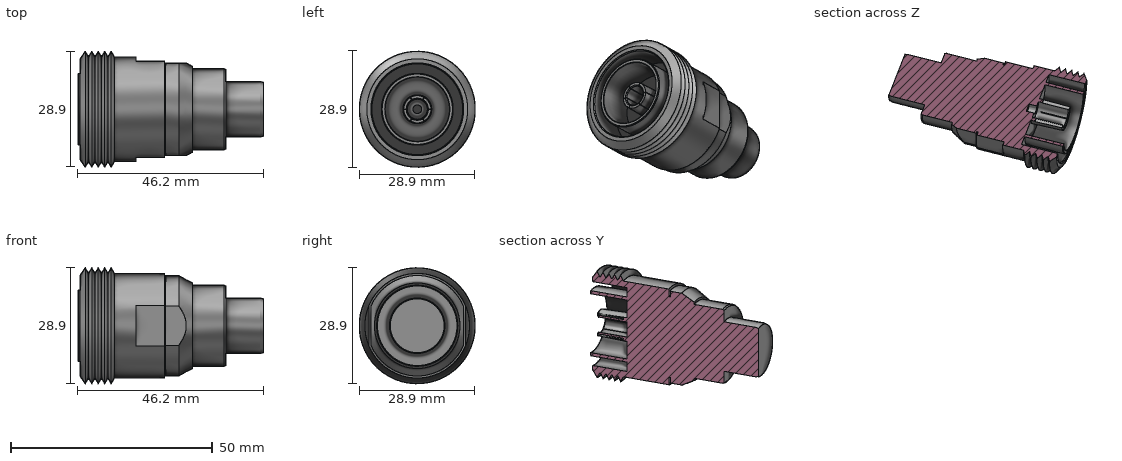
import cadquery as cq

HALF_TURN = 180

BODY_RADIUS = 13.02
MOUTH_X = 0.55
MOUTH_OUTER_RADIUS = 12.55
THREAD_CREST_RADIUS = 14.44
THREAD_ROOT_RADIUS = BODY_RADIUS
THREAD_PITCH = 1.61
THREAD_COUNT = 5
FIRST_CREST_X = 1.84
BODY_END_X = 21.6

RELIEF_RADIUS = 11.0
RELIEF_WIDTH = 0.25

NUT_RADIUS = 12.5
NUT_TAPER_X = 25.1
NUT_END_X = 28.55
NUT_END_RADIUS = 10.65

SLEEVE_RADIUS = 10.1
SLEEVE_END_X = 36.8
SLEEVE_CHAMFER_LENGTH = 0.45
SLEEVE_CHAMFER_DEPTH = 0.2

NECK_RADIUS = 6.9
OVERALL_LENGTH = 46.2
NECK_CHAMFER_LENGTH = 0.85
NECK_CHAMFER_DEPTH = 0.2

BODY_FLAT_START_X = 14.5
BODY_FLAT_OFFSET = 12.0
NUT_FLAT_OFFSET = 11.5

CAVITY_RADIUS = 11.3
CAVITY_MOUTH_RADIUS = 11.55
CAVITY_CHAMFER_LENGTH = 0.25
CAVITY_FLOOR_X = 10.0

TUBE_OUTER_RADIUS = 8.95
TUBE_OUTER_CHAMFER = 0.2
TUBE_BORE_RADIUS = 8.0
TUBE_BORE_CHAMFER = 0.1

SOCKET_TIP_X = 2.0
SOCKET_TIP_RADIUS = 3.4
SOCKET_BASE_RADIUS = 3.6
SOCKET_BORE_RADIUS = 2.5
SOCKET_BORE_CHAMFER = 0.25
SLIT_WIDTH = 0.1
SLIT_PLANES = 3
SLIT_END_X = 9.0

PILOT_RADIUS = 1.08
PILOT_DEPTH = 2.0


def revolve(points):
    """Revolve a closed (x, radius) outline about the X axis."""
    return cq.Workplane("XY").polyline(points).close().revolve(2 * HALF_TURN, (0, 0, 0), (1, 0, 0))


def outer_shell():
    points = [(MOUTH_X, 0), (MOUTH_X, MOUTH_OUTER_RADIUS)]
    for index in range(THREAD_COUNT):
        crest_x = FIRST_CREST_X + index * THREAD_PITCH
        points.append((crest_x, THREAD_CREST_RADIUS))
        points.append((crest_x + THREAD_PITCH / 2, THREAD_ROOT_RADIUS))
    relief_end_x = BODY_END_X + RELIEF_WIDTH
    points += [
        (BODY_END_X, BODY_RADIUS),
        (BODY_END_X, RELIEF_RADIUS),
        (relief_end_x, RELIEF_RADIUS),
        (relief_end_x, NUT_RADIUS),
        (NUT_TAPER_X, NUT_RADIUS),
        (NUT_END_X, NUT_END_RADIUS),
        (NUT_END_X, SLEEVE_RADIUS),
        (SLEEVE_END_X - SLEEVE_CHAMFER_LENGTH, SLEEVE_RADIUS),
        (SLEEVE_END_X, SLEEVE_RADIUS - SLEEVE_CHAMFER_DEPTH),
        (SLEEVE_END_X, NECK_RADIUS),
        (OVERALL_LENGTH - NECK_CHAMFER_LENGTH, NECK_RADIUS),
        (OVERALL_LENGTH, NECK_RADIUS - NECK_CHAMFER_DEPTH),
        (OVERALL_LENGTH, 0),
    ]
    return revolve(points)


def wrench_flats():
    """Blocks that cut opposed flats into the body and the nut."""
    size = 2 * BODY_RADIUS
    relief_mid_x = BODY_END_X + RELIEF_WIDTH / 2
    spans = [
        (BODY_FLAT_START_X, relief_mid_x, BODY_FLAT_OFFSET),
        (relief_mid_x, NUT_END_X, NUT_FLAT_OFFSET),
    ]
    blocks = cq.Workplane("XY")
    for start_x, end_x, offset in spans:
        for side in (-1, 1):
            center = ((start_x + end_x) / 2, side * (offset + size / 2), 0)
            block = cq.Workplane("XY").box(end_x - start_x, size, size).translate(center)
            blocks = blocks.add(block)
    return blocks.combine()


def mating_cavity():
    return revolve([
        (MOUTH_X, 0),
        (MOUTH_X, CAVITY_MOUTH_RADIUS),
        (MOUTH_X + CAVITY_CHAMFER_LENGTH, CAVITY_RADIUS),
        (CAVITY_FLOOR_X, CAVITY_RADIUS),
        (CAVITY_FLOOR_X, 0),
    ])


def contact_tube():
    return revolve([
        (0, TUBE_BORE_RADIUS + TUBE_BORE_CHAMFER),
        (0, TUBE_OUTER_RADIUS - TUBE_OUTER_CHAMFER),
        (TUBE_OUTER_CHAMFER, TUBE_OUTER_RADIUS),
        (CAVITY_FLOOR_X, TUBE_OUTER_RADIUS),
        (CAVITY_FLOOR_X, TUBE_BORE_RADIUS),
        (TUBE_BORE_CHAMFER, TUBE_BORE_RADIUS),
    ])


def centre_socket():
    socket = revolve([
        (SOCKET_TIP_X, SOCKET_BORE_RADIUS + SOCKET_BORE_CHAMFER),
        (SOCKET_TIP_X, SOCKET_TIP_RADIUS),
        (CAVITY_FLOOR_X, SOCKET_BASE_RADIUS),
        (CAVITY_FLOOR_X, SOCKET_BORE_RADIUS),
        (SOCKET_TIP_X + SOCKET_BORE_CHAMFER, SOCKET_BORE_RADIUS),
    ])
    slit_length = SLIT_END_X - SOCKET_TIP_X
    slit = cq.Workplane("XY").box(slit_length, 2 * BODY_RADIUS, SLIT_WIDTH)
    slit = slit.translate((SOCKET_TIP_X + slit_length / 2, 0, 0))
    for index in range(SLIT_PLANES):
        socket = socket.cut(slit.rotate((0, 0, 0), (1, 0, 0), index * HALF_TURN / SLIT_PLANES))
    return socket


def pilot_hole():
    return cq.Workplane("YZ", origin=(CAVITY_FLOOR_X, 0, 0)).circle(PILOT_RADIUS).extrude(PILOT_DEPTH)


result = (
    outer_shell()
    .cut(wrench_flats())
    .cut(mating_cavity())
    .union(contact_tube())
    .union(centre_socket())
    .cut(pilot_hole())
)